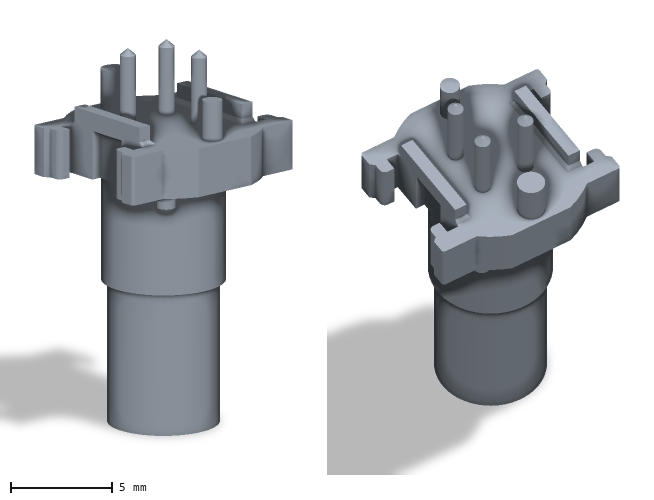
import cadquery as cq
import math


collar_diameter = 6.2
collar_bottom = -8.0
barrel_diameter = 5.6
barrel_bottom = -15.3

flange_thickness = 2.5
flange_radius = 5.0
flange_half_width = 4.7
flange_half_depth = 3.65
overall_half_depth = 5.2

arm_outer_x = 3.83
arm_inner_x = 2.8
arm_outer_fillet = 0.15
arm_inner_chamfer = 0.2
hook_tip_x = 2.1
hook_outer_y = 4.97
hook_inner_y = 4.3
hook_fillet = 0.3

rail_length = 5.0
rail_height = 0.95
rail_width = 0.67
rail_foot = 0.2

recess_width = 2.26
recess_depth = 0.5
recess_ceiling_angle = 30.0

post_offset = 3.75
post_height = 2.0
left_post_diameter = 1.4
right_post_diameter = 1.0

peg_diameter = 0.92
peg_height = 0.8
peg_chamfer = 0.15
peg_x = 3.3
peg_y = 2.6

pin_diameter = 0.8
pin_pitch = 2.5
pin_height = 3.8
pin_tip_height = 0.35


def mirrored_pair(solid):
    """Return a solid joined with its mirror image across the XZ plane."""
    return solid.union(solid.mirror("XZ"))


def make_flange_disc():
    disc = cq.Workplane("XY").circle(flange_radius).extrude(-flange_thickness)
    limits = cq.Workplane("XY").rect(2 * flange_half_width, 2 * flange_half_depth).extrude(-flange_thickness)
    return disc.intersect(limits)


def make_arm():
    """Arm with an inward hook, at the +X +Y corner of the flange."""
    return (
        cq.Workplane("XY")
        .moveTo(arm_outer_x, 0)
        .lineTo(arm_outer_x, overall_half_depth - arm_outer_fillet)
        .radiusArc((arm_outer_x - arm_outer_fillet, overall_half_depth), -arm_outer_fillet)
        .lineTo(arm_inner_x + arm_inner_chamfer, overall_half_depth)
        .lineTo(arm_inner_x, overall_half_depth - arm_inner_chamfer)
        .lineTo(arm_inner_x, hook_outer_y)
        .lineTo(hook_tip_x + hook_fillet, hook_outer_y)
        .radiusArc((hook_tip_x, hook_outer_y - hook_fillet), -hook_fillet)
        .lineTo(hook_tip_x, hook_inner_y)
        .lineTo(arm_inner_x, hook_inner_y)
        .lineTo(arm_inner_x, 0)
        .close()
        .extrude(-flange_thickness)
    )


def make_flange():
    """Trimmed disc with four arms that reach past its front and back edges."""
    arms = mirrored_pair(make_arm())
    arms = arms.union(arms.mirror("YZ"))
    return make_flange_disc().union(arms)


def make_rail():
    """Rail on the back (+Y) edge, with a sloping foot along its inner side and both ends."""
    rail_center_y = flange_half_depth - rail_width / 2
    wall = (
        cq.Workplane("XY")
        .center(0, rail_center_y)
        .rect(rail_length, rail_width)
        .extrude(rail_height)
    )
    foot = (
        cq.Workplane("XY")
        .center(0, rail_center_y)
        .rect(rail_length + 2 * rail_foot, rail_width + 2 * rail_foot)
        .extrude(rail_foot, taper=45)
    )
    overhang = (
        cq.Workplane("XY")
        .center(0, flange_half_depth + rail_foot)
        .rect(2 * rail_length, 2 * rail_foot)
        .extrude(rail_foot)
    )
    return wall.union(foot.cut(overhang))


def make_recess():
    """Cutter for the recess in the back (+Y) edge, highest at the outer face."""
    recess_back_y = flange_half_depth - recess_depth
    ceiling_drop = recess_depth * math.tan(math.radians(recess_ceiling_angle))
    return (
        cq.Workplane("YZ")
        .moveTo(flange_half_depth, 0)
        .lineTo(recess_back_y, -ceiling_drop)
        .lineTo(recess_back_y, -flange_thickness)
        .lineTo(flange_half_depth, -flange_thickness)
        .close()
        .extrude(recess_width / 2, both=True)
    )


def make_barrel():
    collar = cq.Workplane("XY").circle(collar_diameter / 2).extrude(collar_bottom)
    barrel = cq.Workplane("XY").circle(barrel_diameter / 2).extrude(barrel_bottom)
    return collar.union(barrel)


def make_post(x, diameter):
    return cq.Workplane("XY").center(x, 0).circle(diameter / 2).extrude(post_height)


def make_peg(x, y):
    return (
        cq.Workplane("XY")
        .center(x, y)
        .circle(peg_diameter / 2)
        .extrude(-flange_thickness - peg_height)
        .faces("<Z")
        .chamfer(peg_chamfer)
    )


def make_housing():
    body = make_flange().union(mirrored_pair(make_rail()))
    body = body.cut(mirrored_pair(make_recess()))
    body = body.union(make_barrel())
    body = body.union(make_post(-post_offset, left_post_diameter))
    body = body.union(make_post(post_offset, right_post_diameter))
    for side in (-1, 1):
        body = body.union(make_peg(side * peg_x, -side * peg_y))
    return body


def make_pin(x, y):
    """Round pin with a conical tip, standing on the flange."""
    radius = pin_diameter / 2
    return (
        cq.Workplane("XZ")
        .lineTo(radius, 0)
        .lineTo(radius, pin_height - pin_tip_height)
        .lineTo(0, pin_height)
        .close()
        .revolve(360, (0, 0, 0), (0, 1, 0))
        .translate((x, y, 0))
    )


housing = make_housing()

pin_offset = pin_pitch / 2
pin_places = [(-pin_offset, pin_offset), (pin_offset, pin_offset), (-pin_offset, -pin_offset)]
pins = [make_pin(x, y) for x, y in pin_places]

result = cq.Compound.makeCompound([housing.val(), *[pin.val() for pin in pins]])